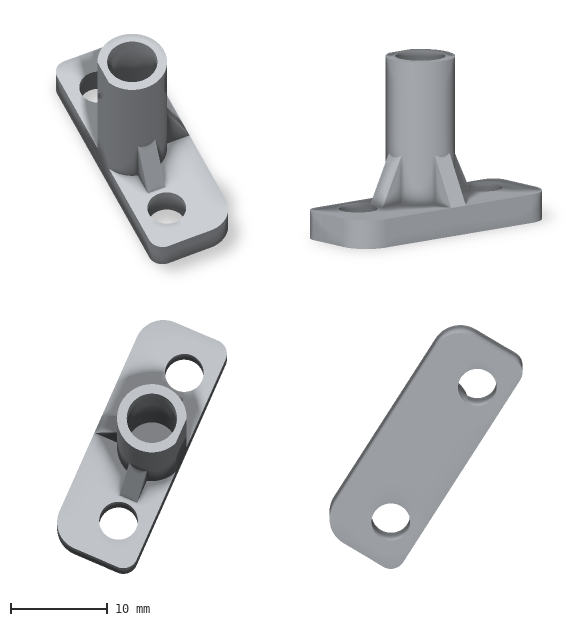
import cadquery as cq

tube_center_y = -0.05
tube_radius = 3.6
bore_diameter = 5.2
total_height = 18.0

plate_thickness = 3.0
plate_depth = 9.35
plate_width = 26.0
front_y = -3.35
back_y = front_y + plate_depth
front_corner_radius = 1.5
back_corner_radius = 3.0

front_plate_width = 26.03
side_step_front_y = front_y + 2.53
side_step_back_y = front_y + 2.83

hole_diameter = 4.0
hole_spacing = 17.0

rib_thickness = 2.0
rib_slope = 2.0
rib_reach = back_y


def make_plate():
    """Plate with large back corners, small front corners and slightly stepped sides."""
    half_width = plate_width / 2
    half_front = front_plate_width / 2
    right_side = [
        (half_front, front_y),
        (half_front, side_step_front_y),
        (half_width, side_step_back_y),
        (half_width, back_y),
    ]
    left_side = [(-x, y) for x, y in reversed(right_side)]
    plate = cq.Workplane("XY").polyline(right_side + left_side).close().extrude(plate_thickness)
    plate = plate.edges("|Z and <Y").fillet(front_corner_radius)
    return plate.edges("|Z and >Y").fillet(back_corner_radius)


def make_tube():
    """Solid post, cut flat where it would pass the front face of the plate."""
    post = cq.Workplane("XY", origin=(0, tube_center_y, 0)).circle(tube_radius).extrude(total_height)
    keep = cq.Workplane("XY").box(
        2 * tube_radius, tube_radius - front_y, total_height, centered=(True, False, False)
    )
    return post.intersect(keep.translate((0, front_y, 0)))


def make_rib(angle):
    """Triangular gusset from the Z axis outwards, turned about Z by the angle."""
    profile = [
        (0, plate_thickness),
        (rib_reach, plate_thickness),
        (0, plate_thickness + rib_reach * rib_slope),
    ]
    rib = cq.Workplane("XZ").polyline(profile).close().extrude(rib_thickness / 2, both=True)
    return rib.rotate((0, 0, 0), (0, 0, 1), angle)


def make_mounting_holes():
    return (
        cq.Workplane("XY")
        .pushPoints([(-hole_spacing / 2, 0), (hole_spacing / 2, 0)])
        .circle(hole_diameter / 2)
        .extrude(plate_thickness)
    )


def make_bore():
    """Blind bore from the tube top down to the top of the plate."""
    return (
        cq.Workplane("XY", origin=(0, tube_center_y, plate_thickness))
        .circle(bore_diameter / 2)
        .extrude(total_height - plate_thickness)
    )


body = make_plate().union(make_tube())
for rib_angle in (0, 90, 180):
    body = body.union(make_rib(rib_angle))

result = body.cut(make_mounting_holes()).cut(make_bore())